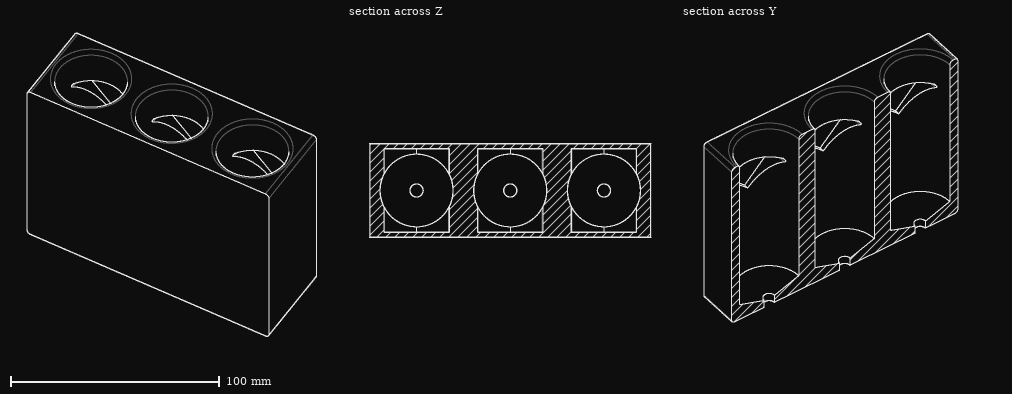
import cadquery as cq

length = 135.0
width = 45.0
height = 100.0
edge_radius = 2.0

well_count = 3
well_pitch = length / well_count
well_diameter = 35.0
well_lip_radius = 2.0
drain_diameter = 6.2
drain_length = 4.7
cone_height = 5.0

pocket_ceiling = height - 20.0
pocket_length = 40.0
pocket_half_width = 17.1
pocket_corner_radius = 1.1


def make_block():
    block = cq.Workplane("XY").box(length, width, height, centered=(True, True, False))
    return block.edges("|Y").fillet(edge_radius)


def make_well():
    """Round well with a flared lip, a conical floor and a drain through the base."""
    well_radius = well_diameter / 2
    drain_radius = drain_diameter / 2
    return (
        cq.Workplane("XZ")
        .lineTo(drain_radius, 0)
        .lineTo(drain_radius, drain_length)
        .lineTo(well_radius, drain_length + cone_height)
        .lineTo(well_radius, height - well_lip_radius)
        .radiusArc((well_radius + well_lip_radius, height), well_lip_radius)
        .lineTo(0, height)
        .close()
        .revolve(360, (0, 0, 0), (0, 1, 0))
    )


def make_pocket():
    """V-shaped prism along Y with its two upper corners rounded."""
    point_z = pocket_ceiling - pocket_half_width
    prism = (
        cq.Workplane("XZ")
        .moveTo(-pocket_half_width, pocket_ceiling)
        .lineTo(pocket_half_width, pocket_ceiling)
        .lineTo(0, point_z)
        .close()
        .extrude(pocket_length / 2, both=True)
    )
    upper_corners = prism.edges("|Y and (<X or >X)")
    return upper_corners.fillet(pocket_corner_radius)


cavity = make_well().union(make_pocket())

result = make_block()
for index in range(well_count):
    well_x = (index - (well_count - 1) / 2) * well_pitch
    result = result.cut(cavity.translate((well_x, 0, 0)))